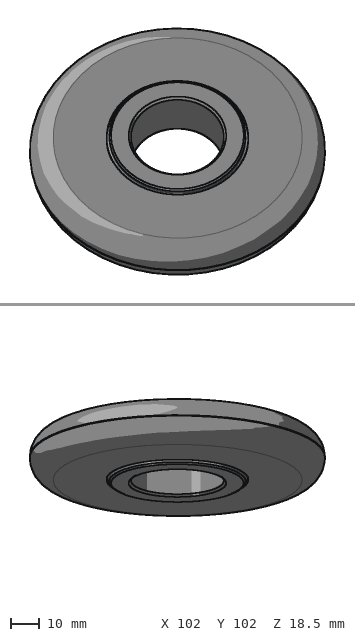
import cadquery as cq
import math

wheel_diameter = 102.0
wheel_thickness = 16.0
groove_floor_diameter = 97.3
groove_width = 0.3

hub_height = 18.5
hub_diameter = 49.0
collar_diameter = 47.0
collar_chamfer = 0.6
ledge_depth = 1.0
ledge_fillet = 0.7
bore_diameter = 32.0
bore_chamfer = 0.8


def make_wheel():
    face = wheel_thickness / 2
    seat_radius = hub_diameter / 2
    wheel_radius = wheel_diameter / 2
    flat_radius = wheel_radius - face
    disc = (
        cq.Workplane("XZ")
        .moveTo(seat_radius, -face)
        .lineTo(flat_radius, -face)
        .threePointArc((wheel_radius, 0), (flat_radius, face))
        .lineTo(seat_radius, face)
        .close()
        .revolve(360, (0, 0, 0), (0, 1, 0))
    )
    groove = (
        cq.Workplane("XY")
        .circle(wheel_radius)
        .circle(groove_floor_diameter / 2)
        .extrude(groove_width / 2, both=True)
    )
    return disc.cut(groove)


def make_hub():
    top = hub_height / 2
    hub_radius = hub_diameter / 2
    collar_radius = collar_diameter / 2
    ledge_height = wheel_thickness / 2 - ledge_depth
    body = cq.Workplane("XY").circle(hub_radius).extrude(ledge_height, both=True)
    fillet_center = (collar_radius + ledge_fillet, ledge_height + ledge_fillet)
    fillet_middle = (
        fillet_center[0] - ledge_fillet * math.sqrt(0.5),
        fillet_center[1] - ledge_fillet * math.sqrt(0.5),
    )
    upper_collar = (
        cq.Workplane("XZ")
        .moveTo(0, 0)
        .lineTo(fillet_center[0], 0)
        .lineTo(fillet_center[0], ledge_height)
        .threePointArc(fillet_middle, (collar_radius, fillet_center[1]))
        .lineTo(collar_radius, top - collar_chamfer)
        .lineTo(collar_radius - collar_chamfer, top)
        .lineTo(0, top)
        .close()
        .revolve(360, (0, 0, 0), (0, 1, 0))
    )
    blank = body.union(upper_collar).union(upper_collar.mirror("XY")).clean()
    bored = blank.faces(">Z").workplane().hole(bore_diameter)
    bore_rims = bored.faces("<Z or >Z").edges(cq.selectors.RadiusNthSelector(0))
    return bore_rims.chamfer(bore_chamfer)


wheel = make_wheel()
hub = make_hub()

result = cq.Compound.makeCompound([wheel.val(), hub.val()])